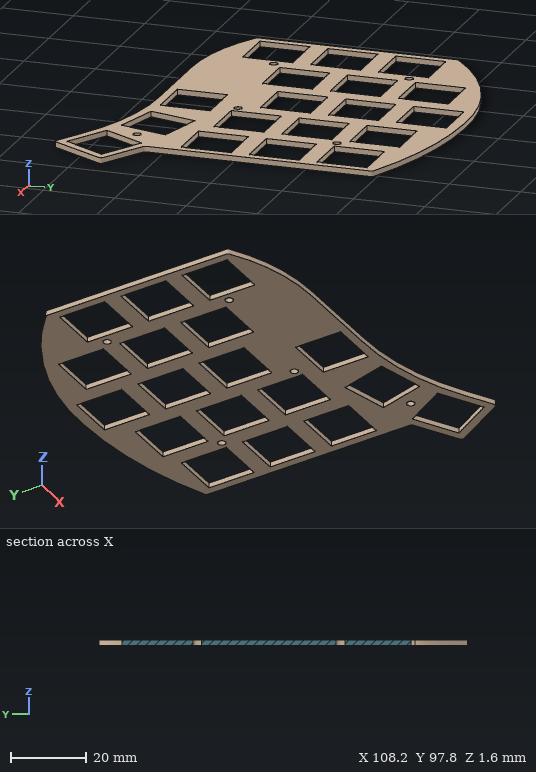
import cadquery as cq
import math

thickness = 1.6
pitch = 19.0
half_pitch = pitch / 2
switch_size = 14.0
screw_diameter = 2.2
corner_radius = 1.0
rows = 3

column_heights = [17.1, 29.2, 35.3, 28.8, 26.2]

inner_thumb = (54.5, half_pitch, 0)
middle_thumb = (75.8, 6.87, -15)
outer_thumb = (95.6, -1.4, -30)

screw_points = [(19.2, 57.7), (76.2, 57.1), (57.1, 22.8), (19.2, 19.7), (86.5, 4.7)]

plate_width = pitch * len(column_heights)
lower_left_height = 8.3
upper_left_height = 64.8
upper_right_height = 73.7
left_crown_point = (21.5, 78.7)
crown_peak = (49.6, 83.8)
right_crown_point = (73.7, 81.0)
lower_arc_end = 1.5 * pitch


def thumb_point(thumb, across, up):
    """Point offset from a thumb switch centre along its own rotated axes."""
    x, y, degrees = thumb
    angle = math.radians(degrees)
    return (
        x + across * math.cos(angle) - up * math.sin(angle),
        y + across * math.sin(angle) + up * math.cos(angle),
    )


def build_plate():
    lower_radius = (lower_arc_end**2 + lower_left_height**2) / (2 * lower_left_height)
    half_run = lower_arc_end / 2
    lower_arc_middle = (half_run, lower_radius - math.sqrt(lower_radius**2 - half_run**2))

    outer_top = thumb_point(outer_thumb, 0, half_pitch)
    thumb_slope = math.tan(math.radians(outer_thumb[2]))
    inside_corner = (plate_width, outer_top[1] + (plate_width - outer_top[0]) * thumb_slope)
    outer_upper_corner = thumb_point(outer_thumb, half_pitch, half_pitch)
    outer_lower_corner = thumb_point(outer_thumb, half_pitch, -half_pitch)

    plate = (
        cq.Workplane("XY")
        .moveTo(0, lower_left_height)
        .lineTo(0, upper_left_height)
        .threePointArc(left_crown_point, crown_peak)
        .threePointArc(right_crown_point, (plate_width, upper_right_height))
        .lineTo(*inside_corner)
        .lineTo(*outer_upper_corner)
        .lineTo(*outer_lower_corner)
        .lineTo(*thumb_point(outer_thumb, 0, -half_pitch))
        .threePointArc(thumb_point(middle_thumb, 0, -half_pitch), thumb_point(inner_thumb, 0, -half_pitch))
        .lineTo(lower_arc_end, 0)
        .threePointArc(lower_arc_middle, (0, lower_left_height))
        .close()
        .extrude(thickness)
    )

    sharp_corners = [
        (0, lower_left_height),
        (0, upper_left_height),
        (plate_width, upper_right_height),
        inside_corner,
        outer_upper_corner,
        outer_lower_corner,
    ]
    for x, y in sharp_corners:
        corner_edge = cq.selectors.NearestToPointSelector((x, y, thickness / 2))
        plate = plate.edges("|Z").edges(corner_edge).fillet(corner_radius)
    return plate


def switch_cutter(x, y, degrees):
    cutter = cq.Workplane("XY").rect(switch_size, switch_size).extrude(thickness)
    return cutter.rotate((0, 0, 0), (0, 0, 1), degrees).translate((x, y, 0))


switches = [inner_thumb, middle_thumb, outer_thumb]
for column, lowest in enumerate(column_heights):
    for row in range(rows):
        switches.append((half_pitch + column * pitch, lowest + row * pitch, 0))

result = build_plate()
for switch in switches:
    result = result.cut(switch_cutter(*switch))

screw_holes = cq.Workplane("XY").pushPoints(screw_points).circle(screw_diameter / 2).extrude(thickness)
result = result.cut(screw_holes)